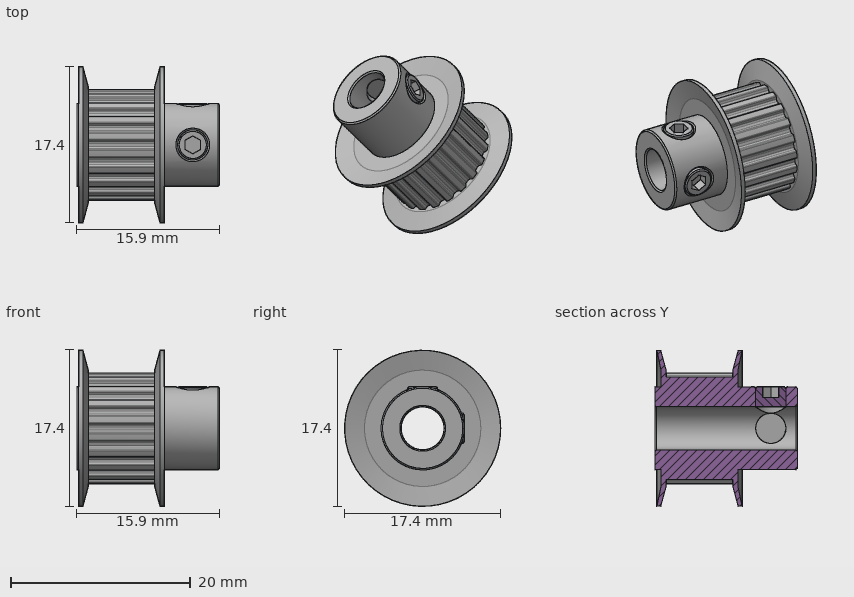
import cadquery as cq
import math


total_length = 15.88
nose_length = 0.19
flange_rim_width = 0.48
flange_cone_rise = 0.6
flange_dish_depth = 0.46
belt_width = 7.38

hub_radius = 4.635
flange_radius = 8.7
flange_flat_radius = 6.48
bore_radius = 2.38
bore_chamfer = 0.17
hub_chamfer = 0.17

tooth_count = 20
tooth_tip_radius = 6.215
groove_depth = 0.5
groove_floor_width = 0.65
groove_flank_angle = 26.0
groove_root_fillet = 0.25
groove_tip_fillet = 0.13
groove_overcut = 0.3

screw_x = 12.9
screw_radius = 1.68
screw_chamfer_height = 0.12
screw_chamfer_width = 0.17
screw_hole_chamfer = 0.2
socket_across_flats = 1.74
socket_depth = 1.2
screw_turns = (0, -90)

near_rim_x = nose_length
near_belt_x = near_rim_x + flange_rim_width + flange_cone_rise
far_belt_x = near_belt_x + belt_width
far_rim_x = far_belt_x + flange_cone_rise + flange_rim_width


def cylinder_x(radius, start, end):
    """Solid cylinder on the X axis from x = start to x = end."""
    return cq.Workplane("YZ", origin=(start, 0, 0)).circle(radius).extrude(end - start)


def make_flange(rim_x, outward):
    """Dished flange; rim_x is its outer rim edge and outward is -1 or +1 along X."""
    dish_x = rim_x - outward * flange_dish_depth
    rim_inner_x = rim_x - outward * flange_rim_width
    belt_x = rim_inner_x - outward * flange_cone_rise
    profile = [
        (dish_x, 0),
        (dish_x, flange_flat_radius),
        (rim_x, flange_radius),
        (rim_inner_x, flange_radius),
        (belt_x, flange_flat_radius),
        (belt_x, 0),
    ]
    return cq.Workplane("XY").polyline(profile).close().revolve(360, (0, 0, 0), (1, 0, 0))


def make_groove_cutter():
    """Sharp-cornered tapered groove at the +Y side of the tooth cylinder."""
    floor_y = tooth_tip_radius - groove_depth
    top_y = tooth_tip_radius + groove_overcut
    floor_half = groove_floor_width / 2
    top_half = floor_half + (top_y - floor_y) * math.tan(math.radians(groove_flank_angle))
    outline = [(floor_y, -floor_half), (top_y, -top_half), (top_y, top_half), (floor_y, floor_half)]
    return (
        cq.Workplane("YZ", origin=(near_belt_x, 0, 0))
        .polyline(outline)
        .close()
        .extrude(belt_width)
    )


def is_tooth_tip(edge):
    """True for edges in the outer half of the groove depth."""
    center = edge.Center()
    return math.hypot(center.y, center.z) > tooth_tip_radius - groove_depth / 2


def is_groove_root(edge):
    return not is_tooth_tip(edge)


def make_toothed_core():
    """Cylinder with evenly spaced belt grooves, rounded at their roots and tips."""
    core = cylinder_x(tooth_tip_radius, near_belt_x, far_belt_x)
    groove = make_groove_cutter()
    for index in range(tooth_count):
        turn = index * 360 / tooth_count
        core = core.cut(groove.rotate((0, 0, 0), (1, 0, 0), turn))

    core = core.edges("|X").filter(is_groove_root).fillet(groove_root_fillet)
    return core.edges("|X").filter(is_tooth_tip).fillet(groove_tip_fillet)


def make_screw_hole(turn):
    """Radial cylinder from the axis out past the hub surface."""
    hole = (
        cq.Workplane("XY", origin=(screw_x, 0, 0))
        .circle(screw_radius)
        .extrude(hub_radius + screw_radius)
    )
    return hole.rotate((0, 0, 0), (1, 0, 0), turn)


def make_bore():
    """Through bore, widened by a chamfer at both ends."""
    mouth_radius = bore_radius + bore_chamfer
    profile = [
        (0, 0),
        (0, mouth_radius),
        (bore_chamfer, bore_radius),
        (total_length - bore_chamfer, bore_radius),
        (total_length, mouth_radius),
        (total_length, 0),
    ]
    return cq.Workplane("XY").polyline(profile).close().revolve(360, (0, 0, 0), (1, 0, 0))


def is_screw_hole_rim(edge):
    """True for the saddle-shaped edges where a screw hole meets the outside of the hub."""
    center = edge.Center()
    is_at_screw = abs(center.x - screw_x) < screw_radius
    is_outside = math.hypot(center.y, center.z) > (bore_radius + hub_radius) / 2
    is_saddle = edge.geomType() not in ("LINE", "CIRCLE")
    return is_at_screw and is_outside and is_saddle


def make_pulley():
    """Hub, toothed core and both flanges as one solid, with the bore and screw holes."""
    hub = cylinder_x(hub_radius, 0, total_length).faces(">X").edges().chamfer(hub_chamfer)
    body = (
        hub.union(make_toothed_core())
        .union(make_flange(near_rim_x, -1))
        .union(make_flange(far_rim_x, 1))
        .cut(make_bore())
    )
    for turn in screw_turns:
        body = body.cut(make_screw_hole(turn))
    return body.edges().filter(is_screw_hole_rim).chamfer(screw_hole_chamfer)


def make_set_screw(turn):
    """Socket set screw, its top level with the hub surface and its tip level with the bore."""
    screw = (
        cq.Workplane("XY", origin=(screw_x, 0, bore_radius))
        .circle(screw_radius)
        .extrude(hub_radius - bore_radius)
        .faces(">Z")
        .edges()
        .chamfer(screw_chamfer_height, screw_chamfer_width)
    )
    socket = (
        cq.Workplane("XY", origin=(screw_x, 0, hub_radius - socket_depth))
        .polygon(6, socket_across_flats, circumscribed=True)
        .extrude(socket_depth)
    )
    return screw.cut(socket).rotate((0, 0, 0), (1, 0, 0), turn)


pulley = make_pulley()
set_screws = [make_set_screw(turn) for turn in screw_turns]

result = cq.Compound.makeCompound([pulley.val(), *[screw.val() for screw in set_screws]])